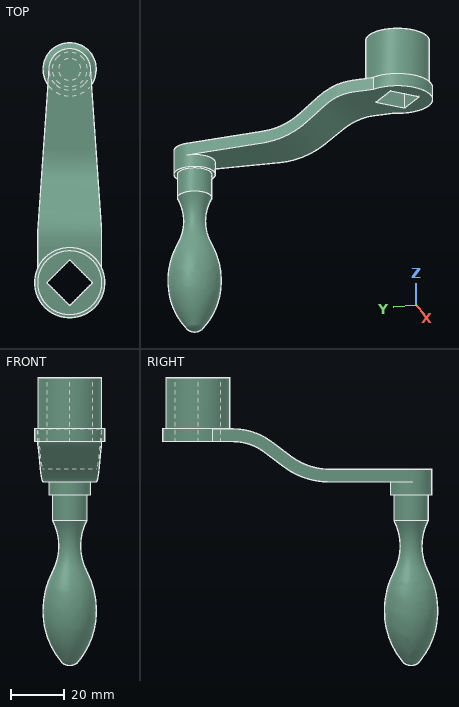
import cadquery as cq
import math

CRANK_RADIUS = 80.0

HUB_DIAMETER = 24.0
FLANGE_DIAMETER = 26.4
FLANGE_THICKNESS = 5.0
HUB_TOP = 24.0
SQUARE_SIDE = 12.1

ARM_THICKNESS = 4.85
ARM_DROP = 15.15
BEND_START = 13.3
BEND_RADIUS = 24.0
BEND_ANGLE = math.radians(37.0)
TAPER_START = 20.0
ARM_HALF_WIDTH = HUB_DIAMETER / 2

COLLAR_DIAMETER = 15.6
COLLAR_LENGTH = 4.85
FERRULE_DIAMETER = 13.0
FERRULE_LENGTH = 9.5
NECK_DIAMETER = 8.3
NECK_LENGTH = 19.2
BULB_DIAMETER = 20.0
BULB_RISE = 12.6
BULB_LENGTH = 34.1
BULB_END_ANGLE = math.radians(40.0)
TIP_DIAMETER = 6.0
TOTAL_HEIGHT = 108.0
GRIP_BOTTOM = HUB_TOP - TOTAL_HEIGHT


def make_hub():
    flange = cq.Workplane("XY").circle(FLANGE_DIAMETER / 2).extrude(FLANGE_THICKNESS)
    barrel = cq.Workplane("XY").circle(HUB_DIAMETER / 2).extrude(HUB_TOP)
    return flange.union(barrel)


def make_arm_side():
    """Constant-thickness S-bend in the YZ plane, as wide as the hub."""
    sin_bend = math.sin(BEND_ANGLE)
    cos_bend = math.cos(BEND_ANGLE)
    arc_rise = BEND_RADIUS * (1 - cos_bend)
    ramp_drop = ARM_DROP - 2 * arc_rise
    ramp_run = ramp_drop / math.tan(BEND_ANGLE)
    bend_end = BEND_START + 2 * BEND_RADIUS * sin_bend + ramp_run

    upper_centre = (BEND_START, ARM_THICKNESS - BEND_RADIUS)
    lower_centre = (bend_end, ARM_THICKNESS - ARM_DROP + BEND_RADIUS)
    upper_inner_radius = BEND_RADIUS - ARM_THICKNESS
    lower_outer_radius = BEND_RADIUS + ARM_THICKNESS

    def on_upper(radius, angle):
        return (upper_centre[0] + radius * math.sin(angle), upper_centre[1] + radius * math.cos(angle))

    def on_lower(radius, angle):
        return (lower_centre[0] - radius * math.sin(angle), lower_centre[1] - radius * math.cos(angle))

    half_bend = BEND_ANGLE / 2
    arm_end = CRANK_RADIUS + COLLAR_DIAMETER / 2
    return (
        cq.Workplane("YZ")
        .moveTo(0, ARM_THICKNESS)
        .lineTo(*on_upper(BEND_RADIUS, 0))
        .threePointArc(on_upper(BEND_RADIUS, half_bend), on_upper(BEND_RADIUS, BEND_ANGLE))
        .lineTo(*on_lower(BEND_RADIUS, BEND_ANGLE))
        .threePointArc(on_lower(BEND_RADIUS, half_bend), on_lower(BEND_RADIUS, 0))
        .lineTo(arm_end, ARM_THICKNESS - ARM_DROP)
        .lineTo(arm_end, -ARM_DROP)
        .lineTo(*on_lower(lower_outer_radius, 0))
        .threePointArc(on_lower(lower_outer_radius, half_bend), on_lower(lower_outer_radius, BEND_ANGLE))
        .lineTo(*on_upper(upper_inner_radius, BEND_ANGLE))
        .threePointArc(on_upper(upper_inner_radius, half_bend), on_upper(upper_inner_radius, 0))
        .lineTo(0, 0)
        .close()
        .extrude(ARM_HALF_WIDTH, both=True)
    )


def make_arm_outline():
    """Plan shape: parallel at the hub, then tapering tangent to the round end."""
    end_radius = COLLAR_DIAMETER / 2
    taper_run = CRANK_RADIUS - TAPER_START
    corner_distance = math.hypot(taper_run, ARM_HALF_WIDTH)
    taper_angle = math.atan2(ARM_HALF_WIDTH, taper_run) - math.asin(end_radius / corner_distance)
    tangent_x = end_radius * math.cos(taper_angle)
    tangent_y = CRANK_RADIUS + end_radius * math.sin(taper_angle)
    return (
        cq.Workplane("XY", origin=(0, 0, -ARM_DROP))
        .moveTo(-ARM_HALF_WIDTH, 0)
        .lineTo(-ARM_HALF_WIDTH, TAPER_START)
        .lineTo(-tangent_x, tangent_y)
        .threePointArc((0, CRANK_RADIUS + end_radius), (tangent_x, tangent_y))
        .lineTo(ARM_HALF_WIDTH, TAPER_START)
        .lineTo(ARM_HALF_WIDTH, 0)
        .close()
        .extrude(ARM_DROP + ARM_THICKNESS)
    )


def make_grip():
    """Half profile (radius, height) turned about the grip axis."""
    collar_bottom = -ARM_DROP - COLLAR_LENGTH
    ferrule_bottom = collar_bottom - FERRULE_LENGTH
    neck_bottom = ferrule_bottom - NECK_LENGTH
    tip_start = neck_bottom - BULB_LENGTH
    collar_radius = COLLAR_DIAMETER / 2
    ferrule_radius = FERRULE_DIAMETER / 2
    neck_radius = NECK_DIAMETER / 2
    tip_radius = TIP_DIAMETER / 2

    neck_end_angle = 2 * math.atan2(ferrule_radius - neck_radius, NECK_LENGTH / 2)
    bulb_tangents = [
        (math.sin(neck_end_angle), -math.cos(neck_end_angle)),
        (-math.sin(BULB_END_ANGLE), -math.cos(BULB_END_ANGLE)),
    ]
    bulb_points = [(BULB_DIAMETER / 2, neck_bottom - BULB_RISE), (tip_radius, tip_start)]

    tip_height = tip_start - GRIP_BOTTOM
    tip_sphere_radius = (tip_radius**2 + tip_height**2) / (2 * tip_height)
    tip_half_angle = math.asin(tip_radius / tip_sphere_radius) / 2
    tip_middle = (
        tip_sphere_radius * math.sin(tip_half_angle),
        GRIP_BOTTOM + tip_sphere_radius * (1 - math.cos(tip_half_angle)),
    )
    return (
        cq.Workplane("XZ", origin=(0, CRANK_RADIUS, 0))
        .moveTo(0, -ARM_DROP)
        .lineTo(collar_radius, -ARM_DROP)
        .lineTo(collar_radius, collar_bottom)
        .lineTo(ferrule_radius, collar_bottom)
        .lineTo(ferrule_radius, ferrule_bottom)
        .threePointArc((neck_radius, ferrule_bottom - NECK_LENGTH / 2), (ferrule_radius, neck_bottom))
        .spline(bulb_points, tangents=bulb_tangents, includeCurrent=True)
        .threePointArc(tip_middle, (0, GRIP_BOTTOM))
        .close()
        .revolve(360, (0, 0, 0), (0, 1, 0))
    )


def make_square_hole():
    return (
        cq.Workplane("XY")
        .transformed(rotate=(0, 0, 45))
        .rect(SQUARE_SIDE, SQUARE_SIDE)
        .extrude(HUB_TOP)
    )


arm = make_arm_side().intersect(make_arm_outline())
result = make_hub().union(arm).union(make_grip()).cut(make_square_hole())